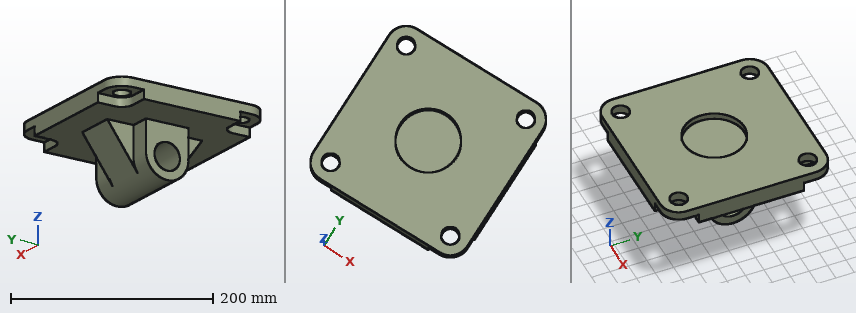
import cadquery as cq
import math

plate_side = 180
plate_thickness = 20.0
corner_radius = 20.0
recess_diameter = 65.0
recess_depth = 7.0

bolt_hole_diameter = 18
bolt_offset = plate_side / 2 - corner_radius
relief_radius = 13.0
relief_height = plate_thickness / 2

total_height = 80.0
lug_width = 90
lug_radius = 25.0
pin_hole_diameter = 30.0
pin_z = lug_radius - total_height

gusset_width = 45
gusset_half_base = 56.2


def make_plate():
    plate = (
        cq.Workplane("XY")
        .rect(plate_side, plate_side)
        .extrude(-plate_thickness)
        .edges("|Z")
        .fillet(corner_radius)
    )
    recess = cq.Workplane("XY").circle(recess_diameter / 2).extrude(-recess_depth)
    return plate.cut(recess)


def make_corner_relief(x_side, y_side):
    """Square pocket open to both plate sides, rounded around the bolt hole."""
    pocket_size = corner_radius + relief_radius
    centre = (plate_side - pocket_size) / 2
    inner_corner = cq.selectors.NearestToPointSelector(
        (
            x_side * (plate_side / 2 - pocket_size),
            y_side * (plate_side / 2 - pocket_size),
            relief_height / 2 - plate_thickness,
        )
    )
    return (
        cq.Workplane("XY", origin=(0, 0, -plate_thickness))
        .center(x_side * centre, y_side * centre)
        .rect(pocket_size, pocket_size)
        .extrude(relief_height)
        .edges(inner_corner)
        .fillet(relief_radius)
    )


def make_lug():
    return (
        cq.Workplane("YZ", origin=(-lug_width / 2, 0, 0))
        .moveTo(-lug_radius, -plate_thickness)
        .lineTo(-lug_radius, pin_z)
        .threePointArc((0, -total_height), (lug_radius, pin_z))
        .lineTo(lug_radius, -plate_thickness)
        .close()
        .extrude(lug_width)
    )


def make_gusset():
    rise = -plate_thickness - pin_z
    base_distance = math.hypot(gusset_half_base, rise)
    base_angle = math.atan2(rise, gusset_half_base)
    tangent_angle = base_angle - math.acos(lug_radius / base_distance)
    tangent_y = lug_radius * math.cos(tangent_angle)
    tangent_z = pin_z + lug_radius * math.sin(tangent_angle)
    return (
        cq.Workplane("YZ", origin=(-gusset_width / 2, 0, 0))
        .moveTo(-gusset_half_base, -plate_thickness)
        .lineTo(-tangent_y, tangent_z)
        .threePointArc((0, -total_height), (tangent_y, tangent_z))
        .lineTo(gusset_half_base, -plate_thickness)
        .close()
        .extrude(gusset_width)
    )


result = make_plate()
for x_side in (-1, 1):
    for y_side in (-1, 1):
        result = result.cut(make_corner_relief(x_side, y_side))

bolt_holes = (
    cq.Workplane("XY")
    .rect(2 * bolt_offset, 2 * bolt_offset, forConstruction=True)
    .vertices()
    .circle(bolt_hole_diameter / 2)
    .extrude(-plate_thickness)
)
pin_hole = (
    cq.Workplane("YZ", origin=(-lug_width / 2, 0, pin_z))
    .circle(pin_hole_diameter / 2)
    .extrude(lug_width)
)
result = result.cut(bolt_holes).union(make_lug()).union(make_gusset()).cut(pin_hole)